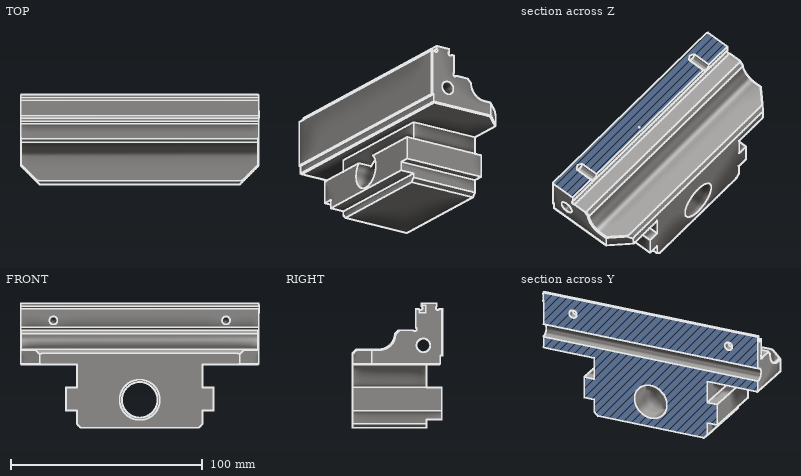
import cadquery as cq
import math

bar_length = 124.3
bar_half = bar_length / 2
bar_bottom = 33.0
bar_back = 47.0
edge_chamfer = 0.5

wall_front = 33.0
wall_top = 62.0
wall_foot = 37.6
wall_overhang = 1.1
foot_back = bar_back - wall_overhang

rail_center = 40.0
rail_width = 8.0
total_height = 65.0
rail_front = rail_center - rail_width / 2
rail_back = rail_center + rail_width / 2

relief_radius = 1.0
relief_offset = 0.5

ledge_top = 51.0
ledge_chamfer = 2.0
cove_radius = 8.0
cove_center_y = 14.0
deck_top = 41.0
deck_chamfer = 2.0
corner_cut = 10.0
corner_bevel_width = 1.6
corner_bevel_drop = 0.5

cross_hole_diameter = 7.0
cross_hole_y = 37.0
cross_hole_z = 43.0
screw_hole_diameter = 4.2
screw_hole_spacing = 90.0
screw_hole_z = 56.0
screw_hole_depth = 10.0
drill_tip_angle = 118.0

block_width = 65.6
block_depth = 38.7
block_chamfer = 2.0
tab_span = 77.0
tab_bottom = 9.0
tab_top = 21.1
tail_back = 46.6
tail_bottom = 4.3

bore_z = 14.6
bore_diameter = 21.0
bore_depth = 10.0
bore_end_diameter = 18.5
bore_taper = (bore_diameter - bore_end_diameter) / 2

pad_height = 0.3
pad_root = 0.2
pad_y = 36.6
pad_width = 3.4
pad_z = 62.0
pad_tall = 4.0


def box(x_range, y_range, z_range):
    """Axis-aligned box between the given limits."""
    size = [high - low for low, high in (x_range, y_range, z_range)]
    corner = (x_range[0], y_range[0], z_range[0])
    return cq.Workplane("XY").box(*size, centered=False).translate(corner)


def cylinder_along_x(radius, y, z):
    """Cylinder as long as the bar, centered on X = 0."""
    return cq.Workplane("YZ").center(y, z).circle(radius).extrude(bar_half, both=True)


def make_bar():
    """Jaw profile swept along X, with the two front corners cut off."""
    cove_back = cove_center_y + cove_radius
    cove_top = deck_top + cove_radius
    half_diagonal = cove_radius * math.sqrt(0.5)
    cove_middle = (cove_center_y + half_diagonal, cove_top - half_diagonal)

    profile = (
        cq.Workplane("YZ")
        .moveTo(0, bar_bottom)
        .lineTo(0, deck_top - deck_chamfer)
        .lineTo(deck_chamfer, deck_top)
        .lineTo(cove_center_y, deck_top)
        .threePointArc(cove_middle, (cove_back, cove_top))
        .lineTo(cove_back + ledge_chamfer, ledge_top)
        .lineTo(wall_front, ledge_top)
        .lineTo(wall_front, wall_top)
        .lineTo(rail_front, wall_top)
        .lineTo(rail_front, total_height)
        .lineTo(rail_back, total_height)
        .lineTo(rail_back, wall_top)
        .lineTo(bar_back, wall_top)
        .lineTo(bar_back, wall_foot)
        .lineTo(foot_back, wall_foot)
        .lineTo(foot_back, bar_bottom)
        .close()
    )
    bar = profile.extrude(bar_half, both=True)

    for side in (-1, 1):
        corner = (
            cq.Workplane("XY")
            .moveTo(side * bar_half, 0)
            .lineTo(side * (bar_half - corner_cut), 0)
            .lineTo(side * bar_half, corner_cut)
            .close()
            .extrude(total_height)
        )
        bar = bar.cut(corner)
    return bar


def is_broken_edge(edge):
    """True for the end edges of the deck, cove and back, and for the bottom rim except its front."""
    center = edge.Center()
    limits = edge.BoundingBox()
    tolerance = 0.01
    near_end = abs(center.x) > bar_half - corner_cut
    over_deck = near_end and limits.ymax < cove_center_y + cove_radius + ledge_chamfer + tolerance
    along_surface = limits.zmin > deck_top - deck_chamfer - tolerance
    on_back = near_end and limits.ymin > bar_back - tolerance
    on_bottom = limits.zmax < bar_bottom + tolerance and limits.ymax > tolerance
    return (over_deck and along_surface) or on_back or on_bottom


def break_edges(bar):
    """Small chamfer on the handled edges of the bar."""
    return bar.edges().filter(is_broken_edge).chamfer(edge_chamfer)


def bevel_corner_slopes(bar):
    """Shallow wedge taken off where the deck chamfer meets each corner cut."""
    run = deck_chamfer + corner_bevel_drop
    for side in (-1, 1):
        corner_x = side * (bar_half - corner_cut)
        corner_z = deck_top - deck_chamfer
        triangle = cq.Wire.makePolygon(
            [
                cq.Vector(corner_x, 0, corner_z),
                cq.Vector(corner_x - side * corner_bevel_width, 0, corner_z),
                cq.Vector(corner_x, 0, corner_z - corner_bevel_drop),
            ],
            close=True,
        )
        wedge = cq.Solid.extrudeLinear(triangle, [], cq.Vector(side * run, run, run))
        bar = bar.cut(cq.Workplane(obj=wedge))
    return bar


def cut_reliefs(bar):
    """Round undercuts beside the rail and at the foot of the wall."""
    centers = [
        (rail_front - relief_offset, wall_top + relief_offset),
        (rail_back + relief_offset, wall_top + relief_offset),
        (wall_front - relief_offset, ledge_top + relief_offset),
    ]
    for y, z in centers:
        bar = bar.cut(cylinder_along_x(relief_radius, y, z))
    return bar


def drill_bar(bar):
    """Through hole along the bar and two blind holes with drill tips in the wall."""
    bar = bar.cut(cylinder_along_x(cross_hole_diameter / 2, cross_hole_y, cross_hole_z))

    radius = screw_hole_diameter / 2
    tip_length = radius / math.tan(math.radians(drill_tip_angle / 2))
    drill = (
        cq.Workplane("XY")
        .moveTo(0, 0)
        .lineTo(radius, 0)
        .lineTo(radius, screw_hole_depth)
        .lineTo(0, screw_hole_depth + tip_length)
        .close()
        .revolve(360, (0, 0), (0, 1))
    )
    for side in (-1, 1):
        place = (side * screw_hole_spacing / 2, wall_front, screw_hole_z)
        bar = bar.cut(drill.translate(place))
    return bar


def make_block():
    """Guide block with side tabs, a rear tail and a stepped bore."""
    block_half = block_width / 2
    tab_half = tab_span / 2
    block = box((-block_half, block_half), (0, block_depth), (0, bar_bottom))
    block = block.edges("|Y and <Z").chamfer(block_chamfer)
    tabs = box((-tab_half, tab_half), (0, tail_back), (tab_bottom, tab_top))
    tail = box((-block_half, block_half), (block_depth, tail_back), (tail_bottom, tab_top))
    block = block.union(tabs).union(tail)

    bore = (
        cq.Workplane("XY")
        .moveTo(0, 0)
        .lineTo(bore_diameter / 2, 0)
        .lineTo(bore_diameter / 2, bore_depth)
        .lineTo(bore_end_diameter / 2, bore_depth + bore_taper)
        .lineTo(bore_end_diameter / 2, tail_back)
        .lineTo(0, tail_back)
        .close()
        .revolve(360, (0, 0), (0, 1))
        .translate((0, 0, bore_z))
    )
    return block.cut(bore)


def make_pad(bar):
    """Thin raised pad on the +X end, bounded by the bar's own cross-section."""
    pad = box(
        (bar_half - pad_root, bar_half + pad_height),
        (pad_y - pad_width / 2, pad_y + pad_width / 2),
        (pad_z - pad_tall / 2, pad_z + pad_tall / 2),
    )
    return pad.intersect(bar.translate((pad_height, 0, 0)))


bar = drill_bar(cut_reliefs(bevel_corner_slopes(break_edges(make_bar()))))
result = bar.union(make_block()).union(make_pad(bar))